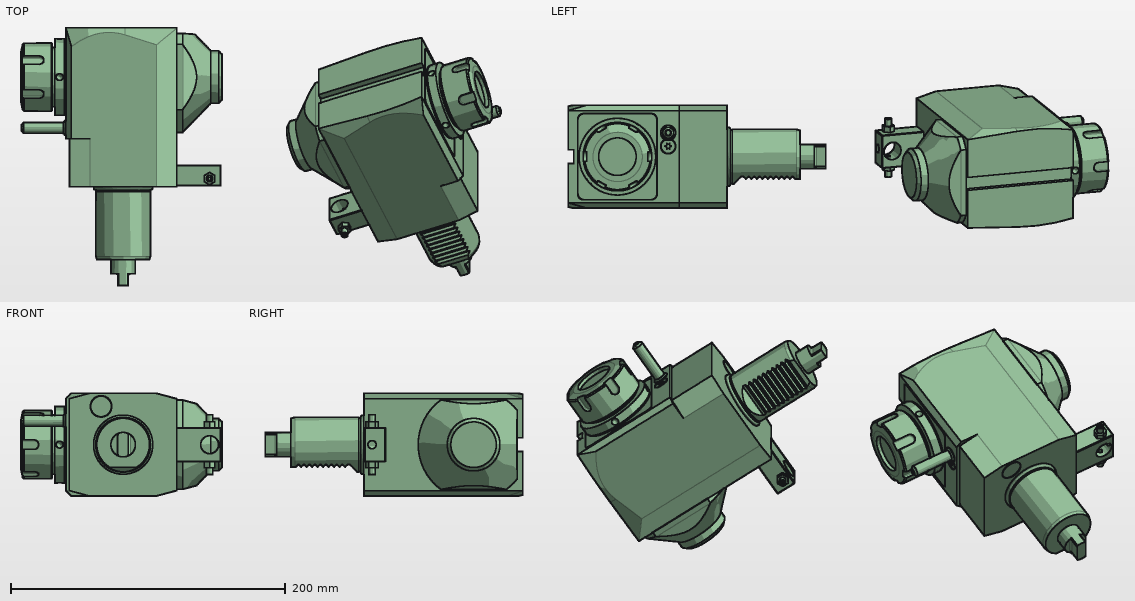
import cadquery as cq
import math


HOUSING_LENGTH = 116.0
HOUSING_HALF_HEIGHT = 37.5
HOUSING_HALF_WIDTH = 39.2
FLANK_RUN = 15.0
FLANK_DROP = 4.0
SPINDLE_FACE_X = -41.8
STEP_Y = 35.0
RIM_BREAK_X = 1.0
RIM_SLOPE = 0.074
RIM_ARC_RADIUS = 154.0
REAR_TAPER = 13.2
KEY_SLOT_WIDTH = 9.8
KEY_SLOT_DEPTH = 4.3

SPINDLE_Y = 80.0
NUT_FACE_X = -74.5
NUT_BACK_X = -51.7
NUT_RADIUS = 25.0
NOSE_RADIUS = 18.0
NOSE_RIM_RADIUS = 24.0
NOSE_DEPTH = 1.2
NOSE_RIM_DEPTH = 2.3
SPINDLE_EDGE_CHAMFER = 0.7
NECK_RADIUS = 21.7
COLLAR_FRONT_X = -49.7
COLLAR_BACK_X = -42.4
COLLAR_RADIUS = 28.0
BORE_RADIUS = 13.7
BORE_DEPTH = 3.0
WRENCH_SLOTS = 6
WRENCH_SLOT_WIDTH = 7.0
SHORT_SLOT_END_X = -61.6
LONG_SLOT_END_X = -57.8
WRENCH_SLOT_FLOOR = 22.2
WRENCH_SLOT_FILLET = 0.5
COLLAR_HOLES = 4
COLLAR_HOLE_DIAMETER = 5.2
COLLAR_HOLE_X = -46.3

PIN_Y = 43.0
PIN_Z = 17.4
PIN_RADIUS = 4.0
PIN_TIP_X = -74.2
PIN_TIP_CHAMFER = 1.8
PIN_SOCKET_DIAMETER = 4.0
PIN_SOCKET_DEPTH = 2.0
PIN_SEAT_RADIUS = 5.5
PIN_SEAT_HEIGHT = 1.7
PIN_SEAT_CHAMFER = 1.3
SCREW_Z = 7.6
SCREW_RADIUS = 5.5
SCREW_SOCKET_SIZE = 4.8
SCREW_SOCKET_DEPTH = 2.0

COVER_RADIUS = 40.4
COVER_RIM_X = 43.3
COVER_BOSS_X = 63.9
COVER_BOSS_RADIUS = 19.2
COVER_END_X = 72.1
COVER_END_CHAMFER = 2.6
COVER_HALF_HEIGHT = 32.6
COVER_REAR_REACH = 31.9
COVER_FLAT_ANGLE = 15.0
COVER_REAR_ANGLE = 4.0

BRACKET_END_X = 71.2
BRACKET_Y_MIN = 0.7
BRACKET_Y_MAX = 15.9
BRACKET_HALF_HEIGHT = 12.5
BRACKET_CHAMFER = 0.5
OUTLET_X = 63.0
OUTLET_DIAMETER = 13.0
SIDE_OUTLET_DIAMETER = 6.0
STUD_BORE_DIAMETER = 3.0
STUD_Y = 6.0
STUD_DIAMETER = 4.8
STUD_TIP_Z = 21.9
STUD_NUT_CORNERS = 9.0
STUD_NUT_HEIGHT = 4.2
STUD_NUT_TURN = 30
STUD_SOCKET_SIZE = 2.6
STUD_SOCKET_DEPTH = 2.0

SEAT_RADIUS = 21.6
SEAT_LENGTH = 2.3
SEAT_FILLET = 1.5
GROOVE_RADIUS = 19.6
GROOVE_END = 3.6
SHANK_RADIUS = 20.0
SHANK_LENGTH = 53.1
SHANK_CHAMFER_LENGTH = 2.7
SHANK_CHAMFER_DEPTH = 0.8
TOOTH_TIP_Z = -16.3
TOOTH_ROOT_Z = -14.6
TOOTH_PITCH = 4.0
TOOTH_COUNT = 9
FIRST_TOOTH_Y = -13.7
LEAD_IN_END_Y = -10.0
LAND_START_Y = -49.5
DRIVE_RADIUS = 8.95
DRIVE_LENGTH = 63.4
TANG_HALF_WIDTH = 3.8
TANG_FLAT_HALF_HEIGHT = 7.1
TANG_BEVEL_ANGLE = 22.0
TANG_LENGTH = 72.0
TANG_ROOT_FILLET = 1.4

PLUG_X = -16.1
PLUG_Z = 27.9
PLUG_RADIUS = 7.8
PLATE_LENGTH = 58.0
PLATE_HEIGHT = 63.0
PLATE_CORNER_RADIUS = 4.5
SEAM_WIDTH = 0.25
SEAM_DEPTH = 0.25


def bar_x(radius, x_start, x_end, y, z):
    """Cylinder parallel to X."""
    return cq.Workplane("YZ", origin=(x_start, y, z)).circle(radius).extrude(x_end - x_start)


def bar_y(radius, y_start, y_end, x, z):
    """Cylinder parallel to Y."""
    plane = cq.Plane(origin=(x, y_start, z), xDir=(1, 0, 0), normal=(0, 1, 0))
    return cq.Workplane(plane).circle(radius).extrude(y_end - y_start)


def revolve_about_spindle(outline):
    """Solid made by turning an (x, radius) outline about the spindle axis."""
    return (
        cq.Workplane("XY", origin=(0, SPINDLE_Y, 0))
        .polyline(outline)
        .close()
        .revolve(360, (0, 0, 0), (1, 0, 0))
    )


def prism_y(half_outline, y_start, y_end):
    """Prism along Y from the upper (x, z) outline, mirrored below Z = 0."""
    lower = [(x, -z) for x, z in reversed(half_outline)]
    plane = cq.Workplane("XZ", origin=(0, y_end, 0))
    return plane.polyline(half_outline + lower).close().extrude(y_end - y_start)


def rear_envelope():
    """Block whose rim widens away from the rear face: a straight run, then an arc."""
    corner_z = HOUSING_HALF_HEIGHT - FLANK_DROP
    break_z = corner_z + RIM_SLOPE * (HOUSING_HALF_WIDTH - RIM_BREAK_X)
    right_x = HOUSING_HALF_WIDTH + FLANK_RUN
    right_z = corner_z - RIM_SLOPE * FLANK_RUN
    start_angle = math.atan(RIM_SLOPE)
    center_x = RIM_BREAK_X - RIM_ARC_RADIUS * math.sin(start_angle)
    center_z = break_z - RIM_ARC_RADIUS * math.cos(start_angle)

    def arc_point(x):
        return x, center_z + math.sqrt(RIM_ARC_RADIUS**2 - (x - center_x) ** 2)

    left_x, left_z = arc_point(SPINDLE_FACE_X - FLANK_RUN)
    middle_x, middle_z = arc_point((RIM_BREAK_X + left_x) / 2)
    return (
        cq.Workplane("XZ", origin=(0, HOUSING_LENGTH, 0))
        .moveTo(right_x, -right_z)
        .lineTo(right_x, right_z)
        .lineTo(RIM_BREAK_X, break_z)
        .threePointArc((middle_x, middle_z), (left_x, left_z))
        .lineTo(left_x, -left_z)
        .threePointArc((middle_x, -middle_z), (RIM_BREAK_X, -break_z))
        .close()
        .extrude(HOUSING_LENGTH, taper=-REAR_TAPER)
    )


def housing():
    shoulder_z = HOUSING_HALF_HEIGHT - FLANK_DROP
    flank_x = HOUSING_HALF_WIDTH - FLANK_RUN
    right_flank = [(flank_x, HOUSING_HALF_HEIGHT), (HOUSING_HALF_WIDTH, shoulder_z)]
    lower_left = [(-HOUSING_HALF_WIDTH, shoulder_z), (-flank_x, HOUSING_HALF_HEIGHT)]
    upper_left = [
        (SPINDLE_FACE_X, shoulder_z),
        (SPINDLE_FACE_X + FLANK_DROP, HOUSING_HALF_HEIGHT),
    ]
    block = prism_y(lower_left + right_flank, 0, STEP_Y)
    block = block.union(prism_y(upper_left + right_flank, STEP_Y, HOUSING_LENGTH))
    block = block.intersect(rear_envelope())
    key_slot = cq.Workplane("XY").box(
        4 * HOUSING_HALF_WIDTH, 2 * KEY_SLOT_DEPTH, KEY_SLOT_WIDTH
    )
    return block.cut(key_slot.translate((0, HOUSING_LENGTH, 0)))


def wrench_slot(end_x):
    """Round-ended slot on the +Y side of the collet nut."""
    radius = WRENCH_SLOT_WIDTH / 2
    straight = end_x - NUT_FACE_X - radius
    floor = cq.Plane(
        origin=(NUT_FACE_X, SPINDLE_Y + WRENCH_SLOT_FLOOR, 0), xDir=(1, 0, 0), normal=(0, 1, 0)
    )
    slot = (
        cq.Workplane(floor)
        .moveTo(0, -radius)
        .lineTo(straight, -radius)
        .threePointArc((straight + radius, 0), (straight, radius))
        .lineTo(0, radius)
        .close()
        .extrude(NUT_RADIUS)
    )
    return slot.faces("<Y").edges("not(<X)").fillet(WRENCH_SLOT_FILLET)


def turn_about_spindle(tool, angle):
    return tool.rotate((0, SPINDLE_Y, 0), (1, SPINDLE_Y, 0), angle)


def collar_hole():
    """Right-angled conical dimple on the +Y side of the collar."""
    radius = COLLAR_HOLE_DIAMETER / 2
    cone = cq.Solid.makeCone(
        0,
        2 * radius,
        2 * radius,
        pnt=cq.Vector(COLLAR_HOLE_X, SPINDLE_Y + COLLAR_RADIUS - radius, 0),
        dir=cq.Vector(0, 1, 0),
    )
    return cq.Workplane(cone)


def spindle():
    outline = [
        (NUT_FACE_X, 0),
        (NUT_FACE_X, NOSE_RADIUS),
        (NUT_FACE_X + NOSE_DEPTH, NOSE_RIM_RADIUS),
        (NUT_FACE_X + NOSE_RIM_DEPTH, NUT_RADIUS),
        (NUT_BACK_X - SPINDLE_EDGE_CHAMFER, NUT_RADIUS),
        (NUT_BACK_X, NUT_RADIUS - SPINDLE_EDGE_CHAMFER),
        (NUT_BACK_X, NECK_RADIUS),
        (COLLAR_FRONT_X, NECK_RADIUS),
        (COLLAR_FRONT_X, COLLAR_RADIUS),
        (COLLAR_BACK_X - SPINDLE_EDGE_CHAMFER, COLLAR_RADIUS),
        (COLLAR_BACK_X, COLLAR_RADIUS - SPINDLE_EDGE_CHAMFER),
        (SPINDLE_FACE_X, COLLAR_RADIUS - SPINDLE_EDGE_CHAMFER),
        (SPINDLE_FACE_X, 0),
    ]
    body = revolve_about_spindle(outline)
    body = body.cut(bar_x(BORE_RADIUS, NUT_FACE_X, NUT_FACE_X + BORE_DEPTH, SPINDLE_Y, 0))
    for i in range(WRENCH_SLOTS):
        angle = i * 360 / WRENCH_SLOTS
        end_x = LONG_SLOT_END_X if 0 < angle < 180 else SHORT_SLOT_END_X
        body = body.cut(turn_about_spindle(wrench_slot(end_x), angle))
    for i in range(COLLAR_HOLES):
        body = body.cut(turn_about_spindle(collar_hole(), i * 360 / COLLAR_HOLES))
    return body


def pin():
    seat_top_x = SPINDLE_FACE_X - PIN_SEAT_HEIGHT
    rod = bar_x(PIN_RADIUS, PIN_TIP_X, SPINDLE_FACE_X, PIN_Y, PIN_Z)
    rod = rod.faces("<X").chamfer(PIN_TIP_CHAMFER)
    seat = bar_x(PIN_SEAT_RADIUS, seat_top_x, SPINDLE_FACE_X, PIN_Y, PIN_Z)
    seat = seat.faces("<X").chamfer(PIN_SEAT_CHAMFER)
    socket = (
        cq.Workplane("YZ", origin=(PIN_TIP_X, PIN_Y, PIN_Z))
        .polygon(6, PIN_SOCKET_DIAMETER)
        .extrude(PIN_SOCKET_DEPTH)
    )
    return rod.union(seat).cut(socket)


def screw_socket():
    """Hexalobular drive of the flush screw next to the pin."""
    plane = cq.Workplane("YZ", origin=(SPINDLE_FACE_X, PIN_Y, SCREW_Z))
    first = plane.polygon(3, SCREW_SOCKET_SIZE).extrude(SCREW_SOCKET_DEPTH)
    center = (0, PIN_Y, SCREW_Z)
    return first.union(first.rotate(center, (1, PIN_Y, SCREW_Z), 60))


def cover():
    end_radius = COVER_BOSS_RADIUS - COVER_END_CHAMFER
    outline = [
        (0, 0),
        (0, COVER_RADIUS),
        (COVER_RIM_X, COVER_RADIUS),
        (COVER_BOSS_X, COVER_BOSS_RADIUS),
        (COVER_END_X - COVER_END_CHAMFER, COVER_BOSS_RADIUS),
        (COVER_END_X, end_radius),
        (COVER_END_X, 0),
    ]
    run = COVER_END_X - COVER_RIM_X
    end_half_height = COVER_HALF_HEIGHT - run * math.tan(math.radians(COVER_FLAT_ANGLE))
    side_outline = [
        (HOUSING_HALF_WIDTH, -COVER_HALF_HEIGHT),
        (HOUSING_HALF_WIDTH, COVER_HALF_HEIGHT),
        (COVER_RIM_X, COVER_HALF_HEIGHT),
        (COVER_END_X, end_half_height),
        (COVER_END_X, -end_half_height),
        (COVER_RIM_X, -COVER_HALF_HEIGHT),
    ]
    side_limit = (
        cq.Workplane("XZ", origin=(0, SPINDLE_Y, 0))
        .polyline(side_outline)
        .close()
        .extrude(COVER_RADIUS, both=True)
    )
    end_reach = COVER_REAR_REACH - run * math.tan(math.radians(COVER_REAR_ANGLE))
    rear_outline = [
        (0, -COVER_RADIUS),
        (0, COVER_REAR_REACH),
        (COVER_RIM_X, COVER_REAR_REACH),
        (COVER_END_X, end_reach),
        (COVER_END_X, -COVER_RADIUS),
    ]
    rear_limit = (
        cq.Workplane("XY", origin=(0, SPINDLE_Y, 0))
        .polyline(rear_outline)
        .close()
        .extrude(COVER_RADIUS, both=True)
    )
    return revolve_about_spindle(outline).intersect(side_limit).intersect(rear_limit)


def stud():
    """Nut and threaded stud on the upper face of the bracket."""
    base = cq.Workplane("XY", origin=(OUTLET_X, STUD_Y, BRACKET_HALF_HEIGHT))
    height = STUD_TIP_Z - BRACKET_HALF_HEIGHT
    socket = (
        cq.Workplane("XY", origin=(OUTLET_X, STUD_Y, STUD_TIP_Z - STUD_SOCKET_DEPTH))
        .polygon(6, STUD_SOCKET_SIZE)
        .extrude(STUD_SOCKET_DEPTH)
    )
    nut = base.transformed(rotate=(0, 0, STUD_NUT_TURN)).polygon(6, STUD_NUT_CORNERS).extrude(STUD_NUT_HEIGHT)
    return nut.union(base.circle(STUD_DIAMETER / 2).extrude(height)).cut(socket)


def bracket():
    arm = (
        cq.Workplane("XY")
        .box(
            BRACKET_END_X - HOUSING_HALF_WIDTH,
            BRACKET_Y_MAX - BRACKET_Y_MIN,
            2 * BRACKET_HALF_HEIGHT,
            centered=(False, False, True),
        )
        .translate((HOUSING_HALF_WIDTH, BRACKET_Y_MIN, 0))
    )
    arm = arm.edges("|X or >X").chamfer(BRACKET_CHAMFER)
    arm = arm.cut(bar_y(OUTLET_DIAMETER / 2, BRACKET_Y_MIN, BRACKET_Y_MAX, OUTLET_X, 0))
    arm = arm.cut(bar_x(SIDE_OUTLET_DIAMETER / 2, OUTLET_X, BRACKET_END_X, STUD_Y, 0))
    arm = arm.union(stud()).union(stud().mirror("XY"))
    bore = cq.Workplane("XY", origin=(OUTLET_X, STUD_Y, 0)).circle(STUD_BORE_DIAMETER / 2)
    return arm.cut(bore.extrude(BRACKET_HALF_HEIGHT, both=True))


def tooth_cutter():
    """Clears the -Z side of the shank, leaving a row of V-shaped teeth along its length."""
    deep_z = -2 * SHANK_RADIUS
    depth = TOOTH_ROOT_Z - TOOTH_TIP_Z
    lead_in = TOOTH_ROOT_Z - deep_z
    points = [(LEAD_IN_END_Y + lead_in, deep_z), (LEAD_IN_END_Y, TOOTH_ROOT_Z)]
    for i in range(TOOTH_COUNT):
        tip_y = FIRST_TOOTH_Y - i * TOOTH_PITCH
        points.append((tip_y + depth, TOOTH_ROOT_Z))
        points.append((tip_y, TOOTH_TIP_Z))
        points.append((tip_y - depth, TOOTH_ROOT_Z))
    points.append((LAND_START_Y + depth, TOOTH_ROOT_Z))
    points.append((LAND_START_Y, TOOTH_TIP_Z))
    points.append((-SHANK_LENGTH, TOOTH_TIP_Z))
    points.append((-SHANK_LENGTH, deep_z))
    return cq.Workplane("YZ").polyline(points).close().extrude(SHANK_RADIUS, both=True)


def shank():
    outline = [
        (0, 0),
        (GROOVE_RADIUS, 0),
        (GROOVE_RADIUS, -GROOVE_END),
        (SHANK_RADIUS, -GROOVE_END),
        (SHANK_RADIUS, SHANK_CHAMFER_LENGTH - SHANK_LENGTH),
        (SHANK_RADIUS - SHANK_CHAMFER_DEPTH, -SHANK_LENGTH),
        (DRIVE_RADIUS, -SHANK_LENGTH),
        (DRIVE_RADIUS, -TANG_LENGTH),
        (0, -TANG_LENGTH),
    ]
    body = cq.Workplane("XY").polyline(outline).close().revolve(360, (0, 0, 0), (0, 1, 0))
    body = body.cut(tooth_cutter())
    seat = bar_y(SEAT_RADIUS, -SEAT_LENGTH, 0, 0, 0).faces("<Y").edges().fillet(SEAT_FILLET)
    body = body.union(seat)
    relief = (
        cq.Workplane("XY")
        .box(DRIVE_RADIUS, TANG_LENGTH - DRIVE_LENGTH, 2 * DRIVE_RADIUS, centered=(False, False, True))
        .edges("|Z and <X and >Y")
        .fillet(TANG_ROOT_FILLET)
        .translate((TANG_HALF_WIDTH, -TANG_LENGTH, 0))
    )
    bevel_rise = DRIVE_RADIUS - TANG_FLAT_HALF_HEIGHT
    bevel_run = bevel_rise * math.tan(math.radians(TANG_BEVEL_ANGLE))
    bevel = (
        cq.Workplane("XZ", origin=(0, -DRIVE_LENGTH, 0))
        .moveTo(TANG_HALF_WIDTH, TANG_FLAT_HALF_HEIGHT)
        .lineTo(TANG_HALF_WIDTH, DRIVE_RADIUS)
        .lineTo(TANG_HALF_WIDTH - bevel_run, DRIVE_RADIUS)
        .close()
        .extrude(TANG_LENGTH - DRIVE_LENGTH)
    )
    cutters = relief.union(bevel).union(bevel.mirror("XY"))
    return body.cut(cutters).cut(cutters.mirror("YZ"))


def ring_seam(plane, radius):
    outer = cq.Workplane(plane).circle(radius).circle(radius - SEAM_WIDTH)
    return outer.extrude(SEAM_DEPTH)


def plug_seam():
    return ring_seam(cq.Plane((PLUG_X, 0, PLUG_Z), (1, 0, 0), (0, 1, 0)), PLUG_RADIUS)


def screw_seam():
    return ring_seam(cq.Plane((SPINDLE_FACE_X, PIN_Y, SCREW_Z), (0, 1, 0), (1, 0, 0)), SCREW_RADIUS)


def plate_seam():
    """Rounded rectangular seam around the spindle."""
    base = cq.Workplane("YZ", origin=(SPINDLE_FACE_X, SPINDLE_Y, 0))
    outer = base.rect(PLATE_LENGTH, PLATE_HEIGHT).extrude(SEAM_DEPTH)
    inner = base.rect(PLATE_LENGTH - 2 * SEAM_WIDTH, PLATE_HEIGHT - 2 * SEAM_WIDTH).extrude(SEAM_DEPTH)
    outer = outer.edges("|X").fillet(PLATE_CORNER_RADIUS)
    return outer.cut(inner.edges("|X").fillet(PLATE_CORNER_RADIUS - SEAM_WIDTH))


result = (
    housing()
    .cut(plug_seam())
    .cut(plate_seam())
    .cut(screw_seam())
    .cut(screw_socket())
    .union(spindle())
    .union(pin())
    .union(cover())
    .union(bracket())
    .union(shank())
)